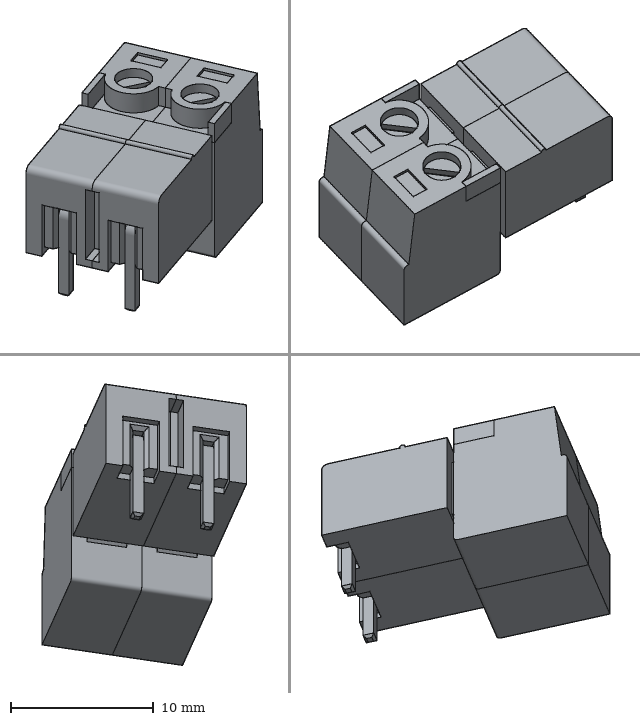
import cadquery as cq


pole_count = 2
pitch = 5.077
total_depth = 17.97
total_height = 11.1
half_pitch = pitch / 2

plug_depth = 8.3
plug_front_y = total_depth - plug_depth
plug_bottom_round = 0.3
ledge_z = 6.13
ledge_depth = 0.41
ledge_round = 0.3
slope_top_inset = 0.92

step_depth = 2.95
step_height = 1.56
step_back_y = plug_front_y + step_depth
step_floor_z = total_height - step_height
boss_radius = 2.05
screw_y = 12.88

marker_width = 2.3
marker_depth = 1.19
marker_y = 15.58
marker_recess = 0.2

screw_radius = 1.33
screw_sink = 0.72
screw_height = 1.0
screw_top_z = total_height - screw_sink
screw_slot_width = 0.49
screw_slot_depth = 0.49
screw_slot_angle = 45

plate_thickness = 0.49

header_depth = 9.2
header_bottom_z = 3.41
header_top_z = 10.39
header_round = 0.5
rib_y = 5.91
rib_radius = 0.2
rib_height = 0.23

tongue_width = 2.88
tongue_top_z = 8.95
tongue_length = plug_front_y - header_depth

pin_size = 0.79
pin_front_y = 0.79
pin_back_y = pin_front_y + pin_size
pin_top_z = 7.12
arm_bottom_z = pin_top_z - pin_size
pin_tip_chamfer = 0.2

recess_width = 2.65
recess_depth = 0.5
recess_top_z = 7.64
wall_clearance = 0.49
wall_bottom_z = header_bottom_z + wall_clearance
funnel_depth = pin_front_y - recess_depth
seam_slot_width = 1.05
seam_slot_depth = pin_back_y
seam_slot_bottom_z = 4.0
seam_slot_top_z = 9.72


def block(x_range, y_range, z_range):
    """Box between two limits along each axis."""
    x0, x1 = x_range
    y0, y1 = y_range
    z0, z1 = z_range
    return cq.Workplane("XY").box(x1 - x0, y1 - y0, z1 - z0, centered=False).translate((x0, y0, z0))


def across_pole(width):
    """X limits of a feature centred in its pole."""
    return (half_pitch - width / 2, half_pitch + width / 2)


def upright_cylinder(radius, bottom_z, top_z):
    """Vertical cylinder on the screw axis."""
    base = cq.Workplane("XY", origin=(half_pitch, screw_y, bottom_z))
    return base.circle(radius).extrude(top_z - bottom_z)


def plug_block():
    """Side profile of the plug, with its sloped upper back and rounded edges."""
    profile = [
        (plug_front_y, 0),
        (total_depth, 0),
        (total_depth, ledge_z),
        (total_depth - ledge_depth, ledge_z),
        (total_depth - slope_top_inset, total_height),
        (plug_front_y, total_height),
    ]
    body = cq.Workplane("YZ").polyline(profile).close().extrude(pitch)
    front_bottom_edge = cq.selectors.NearestToPointSelector((half_pitch, plug_front_y, 0))
    ledge_edge = cq.selectors.NearestToPointSelector((half_pitch, total_depth, ledge_z))
    body = body.edges(front_bottom_edge).fillet(plug_bottom_round)
    return body.edges(ledge_edge).fillet(ledge_round)


def plug_tongue():
    """Raised pad on the plug front, bevelled at 45 degrees underneath."""
    profile = [
        (plug_front_y, header_bottom_z),
        (plug_front_y, tongue_top_z),
        (header_depth, tongue_top_z),
        (header_depth, header_bottom_z + tongue_length),
    ]
    left_x = half_pitch - tongue_width / 2
    return cq.Workplane("YZ", origin=(left_x, 0, 0)).polyline(profile).close().extrude(tongue_width)


def make_plug():
    step = block((0, pitch), (plug_front_y, step_back_y), (step_floor_z, total_height))
    step = step.cut(upright_cylinder(boss_radius, step_floor_z, total_height))
    marker = block(
        across_pole(marker_width),
        (marker_y - marker_depth / 2, marker_y + marker_depth / 2),
        (total_height - marker_recess, total_height),
    )
    screw_hole = upright_cylinder(screw_radius, screw_top_z - screw_height, total_height)
    return plug_block().union(plug_tongue()).cut(step).cut(marker).cut(screw_hole)


def make_screw():
    slot = cq.Workplane("XY").box(3 * screw_radius, screw_slot_width, 2 * screw_slot_depth)
    slot = slot.rotate((0, 0, 0), (0, 0, 1), screw_slot_angle).translate((half_pitch, screw_y, screw_top_z))
    return upright_cylinder(screw_radius, screw_top_z - screw_height, screw_top_z).cut(slot)


def make_end_plate():
    return block((0, plate_thickness), (plug_front_y, step_back_y), (step_floor_z, total_height))


def header_rib():
    """Round-topped rib along X on the header top."""
    shoulder_z = header_top_z + rib_height - rib_radius
    return (
        cq.Workplane("YZ")
        .moveTo(rib_y - rib_radius, header_top_z)
        .lineTo(rib_y - rib_radius, shoulder_z)
        .threePointArc((rib_y, header_top_z + rib_height), (rib_y + rib_radius, shoulder_z))
        .lineTo(rib_y + rib_radius, header_top_z)
        .close()
        .extrude(pitch)
    )


def pin_funnel():
    """45-degree lead-in that narrows from the recess to the pin passage, open at the bottom."""

    def opening(growth, y):
        x0, x1 = across_pole(pin_size + 2 * growth)
        z1 = pin_top_z + growth
        corners = [(x0, y, wall_bottom_z), (x1, y, wall_bottom_z), (x1, y, z1), (x0, y, z1)]
        return cq.Wire.makePolygon([cq.Vector(*corner) for corner in corners], close=True)

    funnel = cq.Solid.makeLoft([opening(funnel_depth, recess_depth), opening(0, pin_front_y)], True)
    return cq.Workplane(funnel)


def make_header():
    body = block((0, pitch), (0, header_depth), (header_bottom_z, header_top_z))
    body = body.edges("<Y and >Z").fillet(header_round).union(header_rib())

    recess_x = across_pole(recess_width)
    body = body.cut(block(recess_x, (0, recess_depth), (header_bottom_z, recess_top_z)))
    body = body.cut(block(recess_x, (0, pin_back_y), (header_bottom_z, wall_bottom_z)))

    pin_x = across_pole(pin_size)
    body = body.cut(pin_funnel())
    body = body.cut(block(pin_x, (pin_front_y, pin_back_y), (header_bottom_z, pin_top_z)))
    body = body.cut(block(pin_x, (pin_front_y, header_depth), (arm_bottom_z, pin_top_z)))
    return body


def make_seam_slot(seam_x):
    """Slot in the header front, centred on the seam between two poles."""
    x_range = (seam_x - seam_slot_width / 2, seam_x + seam_slot_width / 2)
    return block(x_range, (0, seam_slot_depth), (seam_slot_bottom_z, seam_slot_top_z))


def make_pin():
    """Square pin: a leg pointing down and an arm pointing back, rounded at the outer bend."""
    left_x = half_pitch - pin_size / 2
    pin = (
        cq.Workplane("YZ", origin=(left_x, 0, 0))
        .moveTo(pin_front_y, 0)
        .lineTo(pin_front_y, arm_bottom_z)
        .radiusArc((pin_back_y, pin_top_z), pin_size)
        .lineTo(header_depth, pin_top_z)
        .lineTo(header_depth, arm_bottom_z)
        .lineTo(pin_back_y, arm_bottom_z)
        .lineTo(pin_back_y, 0)
        .close()
        .extrude(pin_size)
    )
    return pin.faces("<Z").chamfer(pin_tip_chamfer)


plugs = []
screws = []
headers = []
pins = []
seam_slot = make_seam_slot(pitch)
for pole in range(pole_count):
    offset = (pole * pitch, 0, 0)
    plugs.append(make_plug().translate(offset).val())
    screws.append(make_screw().translate(offset).val())
    headers.append(make_header().translate(offset).cut(seam_slot).val())
    pins.append(make_pin().translate(offset).val())

end_plates = []
for plate_x in (0, pole_count * pitch - plate_thickness):
    end_plates.append(make_end_plate().translate((plate_x, 0, 0)).val())

result = cq.Compound.makeCompound([*plugs, *screws, *end_plates, *headers, *pins])